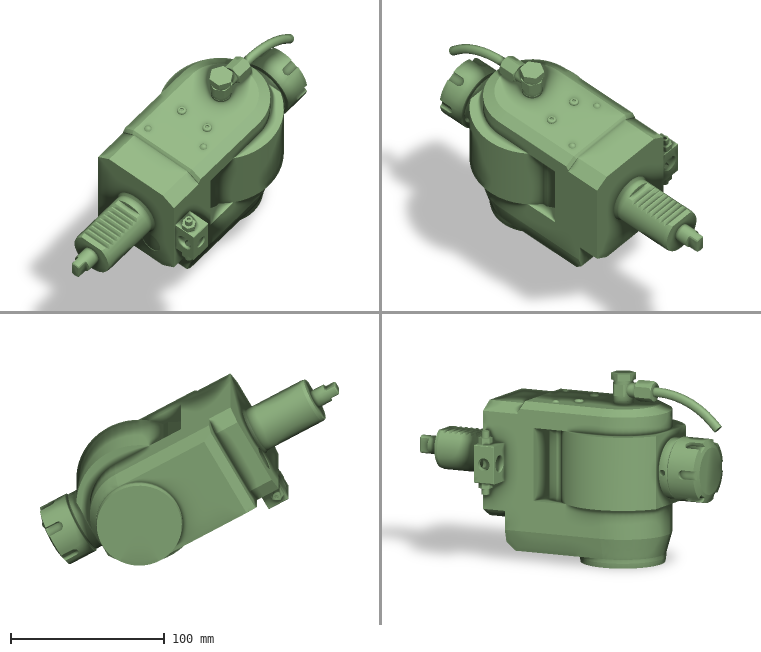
import math

import cadquery as cq


HALF_WIDTH = 32.2
ROUND_Y = 86.0
TOP_Z = 40.0
TOP_EDGE_Z = 36.0
TOP_FACE_HALF_WIDTH = 24.8
TAPER_TOP_Z = -45.0
BOTTOM_Z = -59.0
BOTTOM_HALF_WIDTH = 28.3
REAR_FRONT_Y = 16.0
BOTTOM_FRONT_BEVEL = 5.8

BLOCK_Z = 38.2
BLOCK_EDGE_Z = 32.5
BLOCK_FACE_HALF_WIDTH = 22.8
BLOCK_DEPTH = 25.2
STEP_LENGTH = 2.0
STEP_EDGE_Z = 33.6
STEP_FACE_HALF_WIDTH = 24.0
PLUG_X = 12.8
PLUG_Z = -21.5
PLUG_RADIUS = 7.7
PLUG_RECESS = 0.5

SLOT_FRONT_Y = 36.9
SLOT_HALF_HEIGHT = 24.2
DRUM_RADIUS = 41.0
DRUM_FACE_Y = 121.1
NECK_HALF_WIDTH = 25.3
NECK_SHOULDER_Y = 50.4
NECK_ARC_RADIUS = 48.0
NECK_ARC_END_Y = 43.0

COVER_RADIUS = 28.2
COVER_RIM_RADIUS = 27.7
COVER_STEP_Z = -61.6
COVER_BOTTOM_Z = -64.9

COLLAR_RADIUS = 20.0
COLLAR_START_Y = 122.1
COLLAR_END_Y = 128.5
COLLAR_CHAMFER = 0.6
SPINDLE_NECK_RADIUS = 16.3
PIN_HOLE_RADIUS = 2.1
PIN_HOLE_DEPTH = 4.0
NUT_RADIUS = 21.0
NUT_START_Y = 129.6
NUT_SHOULDER_Y = 148.5
NUT_END_Y = 150.3
NUT_NOSE_RADIUS = 15.5
NUT_SLOTS = 6
NUT_SLOT_WIDTH = 6.2
NUT_SLOT_END_Y = 137.5
NUT_SLOT_FLOOR_RADIUS = 17.8

FLANGE_RADIUS = 16.2
FLANGE_THICKNESS = 1.7
SHANK_RADIUS = 15.0
SHANK_LENGTH = 45.0
SHANK_TIP_CHAMFER = 0.5
SHANK_TIP_CHAMFER_LENGTH = 2.2
FLAT_Z = 11.9
FLAT_START = 6.7
TOOTH_COUNT = 8
TOOTH_PITCH = 4.0
TOOTH_DEPTH = 1.6
FIRST_TOOTH = 11.7

DRIVE_RADIUS = 6.0
DRIVE_END = 61.65
TANG_START = 54.4
TANG_HALF_THICKNESS = 3.1
TANG_CHAMFER = 0.6

CLAMP_END_X = 48.0
CLAMP_NEAR_Y = 1.4
CLAMP_FAR_Y = 16.2
CLAMP_HALF_HEIGHT = 12.5
CLAMP_CHAMFER = 0.4
CLAMP_AXIS_X = 40.0
CLAMP_HOLE_RADIUS = 5.3
CLAMP_PORT_RADIUS = 4.2
SCREW_Y = 5.9
SCREW_RADIUS = 2.5
SCREW_HALF_LENGTH = 21.0
SCREW_EMBED = 6.0
SCREW_SOCKET_RADIUS = 1.4
SCREW_SOCKET_DEPTH = 2.0
LOCK_NUT_RADIUS = 4.7
LOCK_NUT_HEIGHT = 4.2

FITTING_Y = 86.3
FITTING_STEM_RADIUS = 6.6
FITTING_GROOVE_Z = 41.6
FITTING_GROOVE_WIDTH = 0.3
FITTING_GROOVE_DEPTH = 0.3
FITTING_HEX_RADIUS = 7.74
FITTING_HEX_ROUND_RADIUS = 7.4
FITTING_HEX_BOTTOM_Z = 45.2
FITTING_HEX_TOP_Z = 52.9
FITTING_HEAD_RADIUS = 8.1
FITTING_HEAD_BOTTOM_Z = 55.4
FITTING_TOP_Z = 60.0

HOSE_Z = 49.0
HOSE_RADIUS = 3.1
HOSE_NUT_RADIUS = 7.1
HOSE_NUT_START_Y = 97.1
HOSE_NUT_END_Y = 109.4
HOSE_BEND_START_Y = 111.0
HOSE_BEND_RADIUS = 58.0
HOSE_BEND_ANGLE = 45.0
HOSE_TIP_LENGTH = 5.4
HOSE_FITTING_RADIUS = 5.0
HOSE_NUT_CHAMFER = 0.9

COVER_SCREW_X = 10.8
COVER_SCREW_Y = 59.3
COVER_SCREW_RADIUS = 3.1
COVER_SCREW_HEIGHT = 1.5
COVER_SCREW_ROUNDING = 1.2
COVER_SOCKET_RADIUS = 1.5
COVER_SOCKET_DEPTH = 1.0
BALL_RADIUS = 2.9
BALL_HEIGHT = 1.4
BALL_PLACES = [(-18.5, 34.2), (18.6, 46.2)]

OVERLAP = 1.0


def box(x0, x1, y0, y1, z0, z1):
    """Axis-aligned box between opposite corners."""
    return cq.Workplane("XY").box(x1 - x0, y1 - y0, z1 - z0, centered=False).translate((x0, y0, z0))


def cylinder_along_y(radius, y0, y1, x=0.0, z=0.0):
    """Cylinder parallel to Y from y0 to y1."""
    plane = cq.Plane(origin=(x, y0, z), xDir=(1, 0, 0), normal=(0, 1, 0))
    return cq.Workplane(plane).circle(radius).extrude(y1 - y0)


def cylinder_along_z(radius, z0, z1, x=0.0, y=0.0):
    """Cylinder parallel to Z from z0 to z1."""
    return cq.Workplane("XY", origin=(x, y, z0)).circle(radius).extrude(z1 - z0)


def hexagon(plane, corner_radius, length, turned=False):
    """Hexagonal prism; its corners lie on the plane's x axis, or on its y axis when turned."""
    start = 30 if turned else 0
    corners = []
    for i in range(6):
        angle = math.radians(start + 60 * i)
        corners.append((corner_radius * math.cos(angle), corner_radius * math.sin(angle)))
    return cq.Workplane(plane).polyline(corners).close().extrude(length)


def turned_about_y(points):
    """Solid of revolution about Y from (radius, y) points; the axis side is closed."""
    profile = [(0, points[0][1])] + points + [(0, points[-1][1])]
    return cq.Workplane("XY").polyline(profile).close().revolve(360, (0, 0, 0), (0, 1, 0))


def round_ended_plan(z):
    """Plan outline of the housing at height z: straight sides and a half-round rear end."""
    return (
        cq.Workplane("XY", origin=(0, 0, z))
        .moveTo(-HALF_WIDTH, -HALF_WIDTH)
        .lineTo(HALF_WIDTH, -HALF_WIDTH)
        .lineTo(HALF_WIDTH, ROUND_Y)
        .threePointArc((0, ROUND_Y + HALF_WIDTH), (-HALF_WIDTH, ROUND_Y))
        .close()
    )


def bevelled_half_section(workplane, face_half_width, edge_z, top_z):
    """Upper half of the housing cross-section, with bevelled top corners."""
    return workplane.polyline(
        [
            (-HALF_WIDTH, 0),
            (-HALF_WIDTH, edge_z),
            (-face_half_width, top_z),
            (face_half_width, top_z),
            (HALF_WIDTH, edge_z),
            (HALF_WIDTH, 0),
        ]
    ).close()


def make_rear_housing():
    """Round-ended housing with bevelled top and tapered underside."""
    top_rise = TOP_Z - TOP_EDGE_Z
    top_taper = math.degrees(math.atan2(HALF_WIDTH - TOP_FACE_HALF_WIDTH, top_rise))
    bottom_drop = TAPER_TOP_Z - BOTTOM_Z
    bottom_taper = math.degrees(math.atan2(HALF_WIDTH - BOTTOM_HALF_WIDTH, bottom_drop))
    housing = round_ended_plan(TAPER_TOP_Z).extrude(TOP_EDGE_Z - TAPER_TOP_Z)
    housing = housing.union(round_ended_plan(TOP_EDGE_Z).extrude(top_rise, taper=top_taper))
    housing = housing.union(round_ended_plan(TAPER_TOP_Z).extrude(-bottom_drop, taper=bottom_taper))
    rear_end = ROUND_Y + HALF_WIDTH + OVERLAP
    step_end = BLOCK_DEPTH + STEP_LENGTH
    side_outline = [
        (REAR_FRONT_Y, 0),
        (REAR_FRONT_Y, BOTTOM_Z + BOTTOM_FRONT_BEVEL),
        (REAR_FRONT_Y + BOTTOM_FRONT_BEVEL, BOTTOM_Z),
        (rear_end, BOTTOM_Z),
        (rear_end, TOP_Z),
        (step_end, TOP_Z),
        (step_end, 0),
    ]
    side_mask = cq.Workplane("YZ").polyline(side_outline).close().extrude(HALF_WIDTH + OVERLAP, both=True)
    return housing.intersect(side_mask)


def make_mounting_block():
    """Bevelled block at the mounting face, with the sloped step up to the housing top."""
    front = cq.Workplane("XZ")
    upper = bevelled_half_section(front, BLOCK_FACE_HALF_WIDTH, BLOCK_EDGE_Z, BLOCK_Z).extrude(-BLOCK_DEPTH)
    block = upper.union(upper.mirror("XY"))
    step = bevelled_half_section(
        cq.Workplane("XZ", origin=(0, BLOCK_DEPTH, 0)), STEP_FACE_HALF_WIDTH, STEP_EDGE_Z, BLOCK_Z
    ).workplane(offset=-STEP_LENGTH)
    step = bevelled_half_section(step, TOP_FACE_HALF_WIDTH, TOP_EDGE_Z, TOP_Z).loft(ruled=True)
    recess = cylinder_along_y(PLUG_RADIUS, 0, PLUG_RECESS, PLUG_X, PLUG_Z)
    return block.union(step).cut(recess)


def make_slot():
    """Window through the housing, open to the sides and the rear."""
    reach = DRUM_RADIUS + OVERLAP
    return box(-reach, reach, SLOT_FRONT_Y, ROUND_Y + reach, -SLOT_HALF_HEIGHT, SLOT_HALF_HEIGHT)


def make_drum():
    """Spindle drum: a disc with a flat spindle face and a neck toward the front."""
    face_half_width = math.sqrt(DRUM_RADIUS**2 - (DRUM_FACE_Y - ROUND_Y) ** 2)
    neck_start_y = ROUND_Y - math.sqrt(DRUM_RADIUS**2 - NECK_HALF_WIDTH**2)
    arc_half_width = math.sqrt(NECK_ARC_RADIUS**2 - (ROUND_Y - NECK_ARC_END_Y) ** 2)
    outline = (
        cq.Workplane("XY", origin=(0, 0, -SLOT_HALF_HEIGHT))
        .moveTo(face_half_width, DRUM_FACE_Y)
        .lineTo(-face_half_width, DRUM_FACE_Y)
        .threePointArc((-DRUM_RADIUS, ROUND_Y), (-NECK_HALF_WIDTH, neck_start_y))
        .lineTo(-NECK_HALF_WIDTH, NECK_SHOULDER_Y)
        .lineTo(-arc_half_width, NECK_ARC_END_Y)
        .threePointArc((0, ROUND_Y - NECK_ARC_RADIUS), (arc_half_width, NECK_ARC_END_Y))
        .lineTo(NECK_HALF_WIDTH, NECK_SHOULDER_Y)
        .lineTo(NECK_HALF_WIDTH, neck_start_y)
        .threePointArc((DRUM_RADIUS, ROUND_Y), (face_half_width, DRUM_FACE_Y))
        .close()
    )
    return outline.extrude(2 * SLOT_HALF_HEIGHT)


def make_bottom_cover():
    """Round cover below the housing with a slightly conical rim."""
    cover = cylinder_along_z(COVER_RADIUS, COVER_STEP_Z, BOTTOM_Z, y=ROUND_Y)
    rim = (
        cq.Workplane("XY", origin=(0, ROUND_Y, COVER_STEP_Z))
        .circle(COVER_RADIUS)
        .workplane(offset=COVER_BOTTOM_Z - COVER_STEP_Z)
        .circle(COVER_RIM_RADIUS)
        .loft()
    )
    return cover.union(rim)


def make_spindle():
    """Spindle collar and slotted collet nut."""
    spindle = turned_about_y(
        [
            (SPINDLE_NECK_RADIUS, DRUM_FACE_Y - OVERLAP),
            (SPINDLE_NECK_RADIUS, COLLAR_START_Y),
            (COLLAR_RADIUS - COLLAR_CHAMFER, COLLAR_START_Y),
            (COLLAR_RADIUS, COLLAR_START_Y + COLLAR_CHAMFER),
            (COLLAR_RADIUS, COLLAR_END_Y - COLLAR_CHAMFER),
            (COLLAR_RADIUS - COLLAR_CHAMFER, COLLAR_END_Y),
            (SPINDLE_NECK_RADIUS, COLLAR_END_Y),
            (SPINDLE_NECK_RADIUS, NUT_START_Y),
            (NUT_RADIUS, NUT_START_Y),
            (NUT_RADIUS, NUT_SHOULDER_Y),
            (NUT_NOSE_RADIUS, NUT_END_Y),
        ]
    )
    half_slot = NUT_SLOT_WIDTH / 2
    slot = (
        cq.Workplane("YZ", origin=(NUT_SLOT_FLOOR_RADIUS, 0, 0))
        .moveTo(NUT_END_Y + OVERLAP, -half_slot)
        .lineTo(NUT_SLOT_END_Y + half_slot, -half_slot)
        .threePointArc((NUT_SLOT_END_Y, 0), (NUT_SLOT_END_Y + half_slot, half_slot))
        .lineTo(NUT_END_Y + OVERLAP, half_slot)
        .close()
        .extrude(NUT_RADIUS - NUT_SLOT_FLOOR_RADIUS + OVERLAP)
    )
    for i in range(NUT_SLOTS):
        spindle = spindle.cut(slot.rotate((0, 0, 0), (0, 1, 0), i * 360 / NUT_SLOTS))
    collar_middle_y = (COLLAR_START_Y + COLLAR_END_Y) / 2
    for side in (-1, 1):
        hole_start = (side * (COLLAR_RADIUS - PIN_HOLE_DEPTH), collar_middle_y, 0)
        hole = cq.Workplane("YZ", origin=hole_start).circle(PIN_HOLE_RADIUS)
        spindle = spindle.cut(hole.extrude(side * (PIN_HOLE_DEPTH + OVERLAP)))
    return spindle


def make_shank():
    """Cylindrical shank with a serrated flat on top."""
    shank = turned_about_y(
        [
            (SHANK_RADIUS, OVERLAP),
            (FLANGE_RADIUS, OVERLAP),
            (FLANGE_RADIUS, 0),
            (SHANK_RADIUS, -FLANGE_THICKNESS),
            (SHANK_RADIUS, -SHANK_LENGTH + SHANK_TIP_CHAMFER_LENGTH),
            (SHANK_RADIUS - SHANK_TIP_CHAMFER, -SHANK_LENGTH),
        ]
    )
    reach = SHANK_RADIUS + OVERLAP
    shank = shank.cut(box(-reach, reach, -SHANK_LENGTH - OVERLAP, -FLAT_START, FLAT_Z, reach))
    for i in range(TOOTH_COUNT):
        groove_y = -FIRST_TOOTH - i * TOOTH_PITCH
        groove = (
            cq.Workplane("YZ")
            .polyline(
                [
                    (groove_y - TOOTH_DEPTH, FLAT_Z),
                    (groove_y, FLAT_Z - TOOTH_DEPTH),
                    (groove_y + TOOTH_DEPTH, FLAT_Z),
                ]
            )
            .close()
            .extrude(reach, both=True)
        )
        shank = shank.cut(groove)
    return shank


def make_drive():
    """Drive shaft ending in a flat tang."""
    shaft = cylinder_along_y(DRIVE_RADIUS, -DRIVE_END, -SHANK_LENGTH + OVERLAP)
    for side in (-1, 1):
        x0, x1 = sorted((side * TANG_HALF_THICKNESS, side * (DRIVE_RADIUS + OVERLAP)))
        shaft = shaft.cut(box(x0, x1, -DRIVE_END - OVERLAP, -TANG_START, -DRIVE_RADIUS, DRIVE_RADIUS))
    return shaft.faces("<Y or <X[1] or >X[1]").edges().chamfer(TANG_CHAMFER)


def make_clamp():
    """Drilled coolant block with a locked set screw at its top and bottom."""
    clamp = box(HALF_WIDTH, CLAMP_END_X, CLAMP_NEAR_Y, CLAMP_FAR_Y, -CLAMP_HALF_HEIGHT, CLAMP_HALF_HEIGHT)
    clamp = clamp.faces(">X").edges().chamfer(CLAMP_CHAMFER)
    bore = cylinder_along_y(CLAMP_HOLE_RADIUS, CLAMP_NEAR_Y - OVERLAP, CLAMP_FAR_Y + OVERLAP, CLAMP_AXIS_X)
    clamp = clamp.cut(bore)
    clamp = clamp.faces("<Y or >Y").edges("%CIRCLE").chamfer(CLAMP_CHAMFER)
    port_start = (CLAMP_AXIS_X, (CLAMP_NEAR_Y + CLAMP_FAR_Y) / 2, 0)
    port = cq.Workplane("YZ", origin=port_start).circle(CLAMP_PORT_RADIUS)
    clamp = clamp.cut(port.extrude(CLAMP_END_X - CLAMP_AXIS_X + OVERLAP))
    screw_tip_z = CLAMP_HALF_HEIGHT - SCREW_EMBED
    clamp = clamp.cut(cylinder_along_z(SCREW_RADIUS, -screw_tip_z, screw_tip_z, CLAMP_AXIS_X, SCREW_Y))
    screw = cylinder_along_z(SCREW_RADIUS, screw_tip_z, SCREW_HALF_LENGTH, CLAMP_AXIS_X, SCREW_Y)
    nut_plane = cq.Plane(origin=(CLAMP_AXIS_X, SCREW_Y, CLAMP_HALF_HEIGHT))
    nut = hexagon(nut_plane, LOCK_NUT_RADIUS, LOCK_NUT_HEIGHT)
    socket_plane = cq.Plane(origin=(CLAMP_AXIS_X, SCREW_Y, SCREW_HALF_LENGTH))
    socket = hexagon(socket_plane, SCREW_SOCKET_RADIUS, -SCREW_SOCKET_DEPTH)
    screw = screw.union(nut).cut(socket)
    return clamp.union(screw).union(screw.mirror("XY"))


def make_fitting():
    """Upright coolant fitting with two hexagons."""
    fitting = cylinder_along_z(FITTING_STEM_RADIUS, TOP_Z - OVERLAP, FITTING_HEAD_BOTTOM_Z, y=FITTING_Y)
    groove_floor_radius = FITTING_STEM_RADIUS - FITTING_GROOVE_DEPTH
    groove = (
        cq.Workplane("XY", origin=(0, FITTING_Y, FITTING_GROOVE_Z))
        .circle(FITTING_STEM_RADIUS + OVERLAP)
        .circle(groove_floor_radius)
        .extrude(FITTING_GROOVE_WIDTH)
    )
    fitting = fitting.cut(groove)
    hex_plane = cq.Plane(origin=(0, FITTING_Y, FITTING_HEX_BOTTOM_Z))
    hex_height = FITTING_HEX_TOP_Z - FITTING_HEX_BOTTOM_Z
    hex_body = hexagon(hex_plane, FITTING_HEX_RADIUS, hex_height, turned=True)
    rounding = cq.Workplane(hex_plane).circle(FITTING_HEX_ROUND_RADIUS).extrude(hex_height)
    fitting = fitting.union(hex_body.intersect(rounding))
    head_plane = cq.Plane(origin=(0, FITTING_Y, FITTING_HEAD_BOTTOM_Z))
    head_height = FITTING_TOP_Z - FITTING_HEAD_BOTTOM_Z
    return fitting.union(hexagon(head_plane, FITTING_HEAD_RADIUS, head_height))


def make_hose():
    """Hose connection: side tube, union nut and the hose bending down toward the tool."""
    tube = cylinder_along_y(HOSE_FITTING_RADIUS, FITTING_Y, HOSE_NUT_START_Y + OVERLAP, z=HOSE_Z)
    nut_plane = cq.Plane(origin=(0, HOSE_NUT_START_Y, HOSE_Z), xDir=(0, 0, 1), normal=(0, 1, 0))
    nut_length = HOSE_NUT_END_Y - HOSE_NUT_START_Y
    nut = hexagon(nut_plane, HOSE_NUT_RADIUS, nut_length)
    nut_envelope = cq.Workplane(nut_plane).circle(HOSE_NUT_RADIUS).extrude(nut_length)
    nut = nut.intersect(nut_envelope.edges().chamfer(HOSE_NUT_CHAMFER))

    bend = math.radians(HOSE_BEND_ANGLE)
    bend_centre_z = HOSE_Z - HOSE_BEND_RADIUS

    def bend_point(angle):
        return (
            HOSE_BEND_START_Y + HOSE_BEND_RADIUS * math.sin(angle),
            bend_centre_z + HOSE_BEND_RADIUS * math.cos(angle),
        )

    bend_end = bend_point(bend)
    tip = (
        bend_end[0] + HOSE_TIP_LENGTH * math.cos(bend),
        bend_end[1] - HOSE_TIP_LENGTH * math.sin(bend),
    )
    hose_start_y = HOSE_NUT_END_Y - OVERLAP
    path = (
        cq.Workplane("YZ")
        .moveTo(hose_start_y, HOSE_Z)
        .lineTo(HOSE_BEND_START_Y, HOSE_Z)
        .threePointArc(bend_point(bend / 2), bend_end)
        .lineTo(*tip)
    )
    hose = cq.Workplane("XZ", origin=(0, hose_start_y, HOSE_Z)).circle(HOSE_RADIUS).sweep(path)
    return tube.union(nut).union(hose)


def make_cover_screw(x):
    """Low socket-head screw on the top face."""
    head = cylinder_along_z(COVER_SCREW_RADIUS, TOP_Z, TOP_Z + COVER_SCREW_HEIGHT, x, COVER_SCREW_Y)
    head = head.faces(">Z").edges().fillet(COVER_SCREW_ROUNDING)
    socket_plane = cq.Plane(origin=(x, COVER_SCREW_Y, TOP_Z + COVER_SCREW_HEIGHT))
    return head.cut(hexagon(socket_plane, COVER_SOCKET_RADIUS, -COVER_SOCKET_DEPTH))


def make_ball(x, y):
    """Ball set into the top face, standing proud of it."""
    return cq.Workplane("XY", origin=(x, y, TOP_Z + BALL_HEIGHT - BALL_RADIUS)).sphere(BALL_RADIUS)


result = make_rear_housing().union(make_mounting_block())
result = result.cut(make_slot()).union(make_drum())
for feature in (
    make_bottom_cover(),
    make_spindle(),
    make_shank(),
    make_drive(),
    make_clamp(),
    make_fitting(),
    make_hose(),
    make_cover_screw(-COVER_SCREW_X),
    make_cover_screw(COVER_SCREW_X),
):
    result = result.union(feature)
for ball_x, ball_y in BALL_PLACES:
    result = result.union(make_ball(ball_x, ball_y))